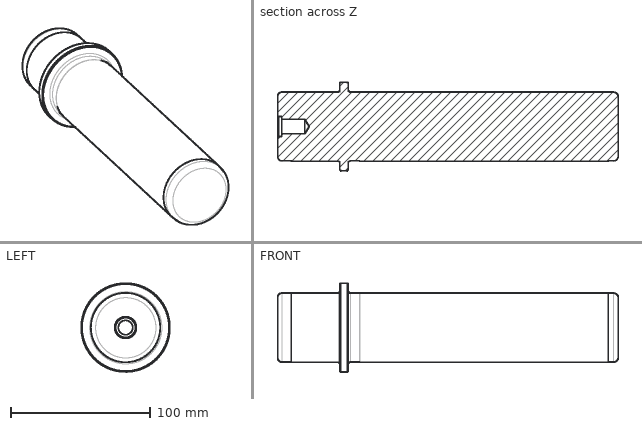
import cadquery as cq
import math

length = 245.0
body_radius = 25.0
end_relief = 0.12
shank_lead_end = 10.0
tail_lead_start = 237.6
shank_round = 3.2
tail_round = 3.7

collar_start = 44.5
collar_end = 51.0
collar_radius = 31.97
collar_chamfer = 0.7
shank_root_fillet = 1.0
body_root_fillet = 1.5

neck_relief = 0.12
neck_end = 58.5
neck_cone_length = 0.5

counterbore_radius = 7.0
counterbore_depth = 3.0
mouth_chamfer = 0.7
bore_radius = 5.1
bore_depth = 19.5
drill_half_angle = math.radians(59)


def revolve_profile(profile):
    """Spin a closed (X, radius) profile about the X axis."""
    return profile.close().revolve(360, (0, 0, 0), (1, 0, 0))


def arc_point(center_x, center_radius, size, degrees):
    """Point on a circle of the given size, in (X, radius) coordinates."""
    angle = math.radians(degrees)
    return (center_x + size * math.cos(angle), center_radius + size * math.sin(angle))


def make_pin():
    lead_radius = body_radius - end_relief
    neck_radius = body_radius - neck_relief
    shank_round_mid = arc_point(shank_round, lead_radius - shank_round, shank_round, 135)
    tail_round_mid = arc_point(length - tail_round, lead_radius - tail_round, tail_round, 45)
    shank_root_mid = arc_point(
        collar_start - shank_root_fillet, body_radius + shank_root_fillet, shank_root_fillet, -45
    )
    body_root_mid = arc_point(
        collar_end + body_root_fillet, neck_radius + body_root_fillet, body_root_fillet, -135
    )
    profile = (
        cq.Workplane("XY")
        .moveTo(0, 0)
        .lineTo(0, lead_radius - shank_round)
        .threePointArc(shank_round_mid, (shank_round, lead_radius))
        .lineTo(shank_lead_end, lead_radius)
        .lineTo(shank_lead_end, body_radius)
        .lineTo(collar_start - shank_root_fillet, body_radius)
        .threePointArc(shank_root_mid, (collar_start, body_radius + shank_root_fillet))
        .lineTo(collar_start, collar_radius - collar_chamfer)
        .lineTo(collar_start + collar_chamfer, collar_radius)
        .lineTo(collar_end - collar_chamfer, collar_radius)
        .lineTo(collar_end, collar_radius - collar_chamfer)
        .lineTo(collar_end, neck_radius + body_root_fillet)
        .threePointArc(body_root_mid, (collar_end + body_root_fillet, neck_radius))
        .lineTo(neck_end, neck_radius)
        .lineTo(neck_end + neck_cone_length, body_radius)
        .lineTo(tail_lead_start, body_radius)
        .lineTo(tail_lead_start, lead_radius)
        .lineTo(length - tail_round, lead_radius)
        .threePointArc(tail_round_mid, (length, lead_radius - tail_round))
        .lineTo(length, 0)
    )
    return revolve_profile(profile)


def make_center_hole():
    drill_tip = bore_depth + bore_radius / math.tan(drill_half_angle)
    profile = (
        cq.Workplane("XY")
        .moveTo(0, 0)
        .lineTo(0, counterbore_radius + mouth_chamfer)
        .lineTo(mouth_chamfer, counterbore_radius)
        .lineTo(counterbore_depth, counterbore_radius)
        .lineTo(counterbore_depth, bore_radius)
        .lineTo(bore_depth, bore_radius)
        .lineTo(drill_tip, 0)
    )
    return revolve_profile(profile)


result = make_pin().cut(make_center_hole())